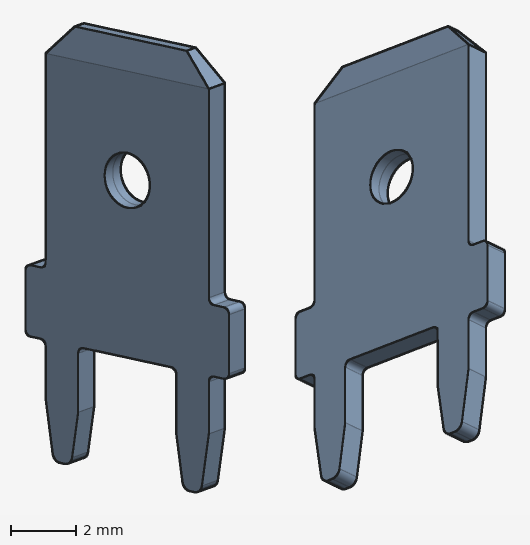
import cadquery as cq
import math

thickness = 0.81
total_height = 14.02
shoulder_width = 7.92

blade_width = 6.35
lead_in = 1.0
lead_in_angle = 10.0
hole_diameter = 1.75
hole_z = 9.52

shoulder_bottom_z = 3.84
shoulder_top_z = 6.13
corner_radius = 0.2

leg_width = 1.27
outer_taper_z = 1.97
inner_taper_z = 1.75
taper_angle = 9.0
tip_radius = 0.3

blade_half = blade_width / 2
shoulder_half = shoulder_width / 2
leg_inner_x = blade_half - leg_width
taper_slope = math.tan(math.radians(taper_angle))
tip_outer_x = blade_half - outer_taper_z * taper_slope
tip_inner_x = leg_inner_x + inner_taper_z * taper_slope
lead_in_z = total_height - lead_in
end_half_thickness = thickness / 2 - lead_in * math.tan(math.radians(lead_in_angle))


def round_corners(body, corners, radius):
    """Fillet the through-thickness edges at the given (x, z) corners and their mirror images."""
    edges = []
    for x, z in corners:
        for side in (-1, 1):
            nearest = cq.selectors.NearestToPointSelector((side * x, 0, z))
            edges.append(body.edges(nearest).val())
    return cq.Workplane(body.val().fillet(radius, edges))


def make_plate():
    """Flat blank: blade with 45 degree end corners, shoulders and two tapered legs."""
    right_half = [
        (leg_inner_x, shoulder_bottom_z),
        (leg_inner_x, inner_taper_z),
        (tip_inner_x, 0),
        (tip_outer_x, 0),
        (blade_half, outer_taper_z),
        (blade_half, shoulder_bottom_z),
        (shoulder_half, shoulder_bottom_z),
        (shoulder_half, shoulder_top_z),
        (blade_half, shoulder_top_z),
        (blade_half, lead_in_z),
        (blade_half - lead_in, total_height),
    ]
    left_half = [(-x, z) for x, z in reversed(right_half)]
    outline = cq.Workplane("XZ").polyline(right_half + left_half).close()
    return outline.extrude(thickness / 2, both=True)


def round_plate(plate):
    """Round the shoulder corners, the leg roots and the leg tips."""
    shoulder_and_root_corners = [
        (leg_inner_x, shoulder_bottom_z),
        (blade_half, shoulder_bottom_z),
        (shoulder_half, shoulder_bottom_z),
        (shoulder_half, shoulder_top_z),
        (blade_half, shoulder_top_z),
    ]
    tip_corners = [(tip_inner_x, 0), (tip_outer_x, 0)]
    plate = round_corners(plate, shoulder_and_root_corners, corner_radius)
    return round_corners(plate, tip_corners, tip_radius)


def make_side_envelope():
    """Side profile across the full width, thinning toward the blade end."""
    profile = [
        (-thickness / 2, 0),
        (thickness / 2, 0),
        (thickness / 2, lead_in_z),
        (end_half_thickness, total_height),
        (-end_half_thickness, total_height),
        (-thickness / 2, lead_in_z),
    ]
    return cq.Workplane("YZ").polyline(profile).close().extrude(shoulder_half, both=True)


def make_hole():
    """Detent hole through the blade."""
    circle = cq.Workplane("XZ").center(0, hole_z).circle(hole_diameter / 2)
    return circle.extrude(thickness, both=True)


result = round_plate(make_plate()).intersect(make_side_envelope()).cut(make_hole())